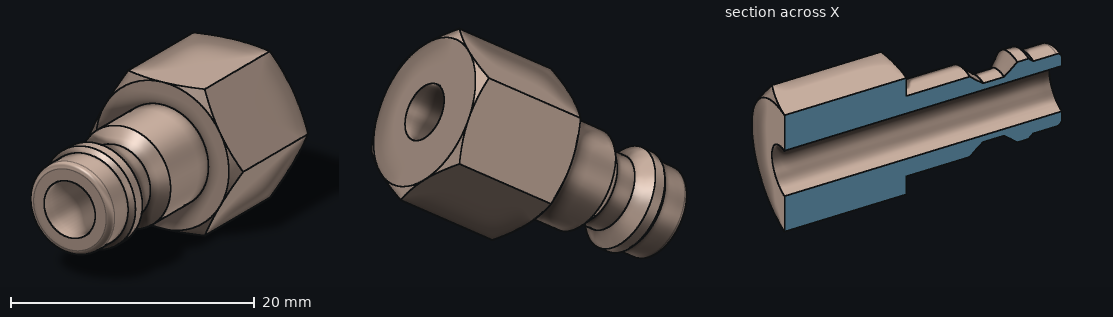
import cadquery as cq
import math

total_length = 25.0
across_flats = 13.0
across_corners = across_flats / math.cos(math.pi / 6)
hex_start = 14.0
hex_chamfer_angle = math.radians(30)

bore_diameter = 5.0
nose_radius = 8.1 / 2
collar_radius = 9.0 / 2
neck_radius = 6.6 / 2

tip_fillet = 0.5
collar_cone_start = 2.58
collar_start = 3.0
collar_end = 4.02
neck_end = 7.1
cone_length = collar_radius - neck_radius
neck_start = collar_end + cone_length
shank_start = neck_end + cone_length


def make_hexagon():
    """Hexagonal body with corners on X, both ends chamfered by a cone."""
    hexagon = (
        cq.Workplane("XZ", origin=(0, total_length, 0))
        .polygon(6, across_corners)
        .extrude(total_length - hex_start)
    )
    flat_radius = across_flats / 2
    corner_radius = across_corners / 2
    chamfer_length = (corner_radius - flat_radius) * math.tan(hex_chamfer_angle)
    envelope = (
        cq.Workplane("XY")
        .moveTo(0, hex_start)
        .lineTo(flat_radius, hex_start)
        .lineTo(corner_radius, hex_start + chamfer_length)
        .lineTo(corner_radius, total_length - chamfer_length)
        .lineTo(flat_radius, total_length)
        .lineTo(0, total_length)
        .close()
        .revolve(360, (0, 0, 0), (0, 1, 0))
    )
    return hexagon.intersect(envelope)


def make_plug():
    """Turned plug with rounded tip, locking collar, neck and shank."""
    plug_end = (hex_start + total_length) / 2
    return (
        cq.Workplane("XY")
        .lineTo(nose_radius - tip_fillet, 0)
        .radiusArc((nose_radius, tip_fillet), -tip_fillet)
        .lineTo(nose_radius, collar_cone_start)
        .lineTo(collar_radius, collar_start)
        .lineTo(collar_radius, collar_end)
        .lineTo(neck_radius, neck_start)
        .lineTo(neck_radius, neck_end)
        .lineTo(collar_radius, shank_start)
        .lineTo(collar_radius, plug_end)
        .lineTo(0, plug_end)
        .close()
        .revolve(360, (0, 0, 0), (0, 1, 0))
    )


def make_bore():
    """Through bore along the whole part."""
    return (
        cq.Workplane("XZ", origin=(0, total_length, 0))
        .circle(bore_diameter / 2)
        .extrude(total_length)
    )


result = make_hexagon().union(make_plug()).cut(make_bore())